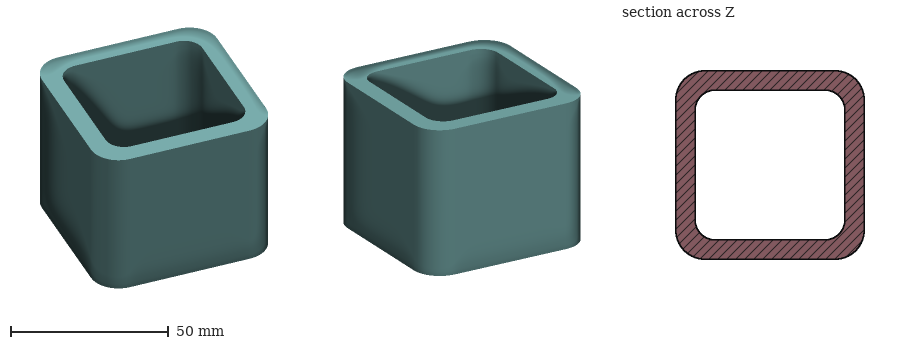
import cadquery as cq

outer_width = 60.0
wall_thickness = 6.3
length = 50.0

inner_width = outer_width - 2 * wall_thickness
outer_corner_radius = 1.5 * wall_thickness
inner_corner_radius = wall_thickness


def rounded_square_bar(width, corner_radius):
    """Solid square bar standing on the XY plane, with its long edges rounded."""
    bar = cq.Workplane("XY").rect(width, width).extrude(length)
    return bar.edges("|Z").fillet(corner_radius)


outer_bar = rounded_square_bar(outer_width, outer_corner_radius)
bore = rounded_square_bar(inner_width, inner_corner_radius)

result = outer_bar.cut(bore)